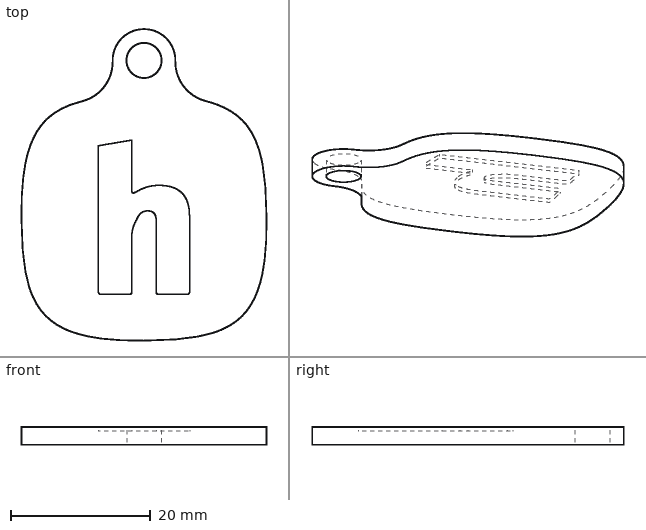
import cadquery as cq
import math

length = 44.55
thickness = 2.6
width = 35.05
half_width = width / 2
side_tilt = 0.01
leading_pull = 12.9
trailing_pull = 15.0

loop_radius = 4.5
hole_diameter = 5.0
neck_fillet = 5.75
loop_y = length - half_width - loop_radius

inlay_depth = 0.55
letter_half_width = 6.5
leg_inner_x = 1.75
letter_bottom = -10.9
stem_top_left = 10.35
stem_top_right = 11.15
arch_peak = (2.2, 4.68)
arch_spring_y = 0.25
slot_peak = (0.55, 1.02)
slot_shoulder = (-1.02, -0.15)
slot_left_y = -2.55
slot_right_y = -0.35
crotch_top_y = 3.87
crotch_low_point = (-1.6, 3.6)
crotch_end = (-1.3, 3.65)
crotch_rise = (1.0, 0.6)
foot_radius = 0.35


def turned(point, quarter):
    """Turn a point about the plate centre by a number of quarter turns."""
    x, y = point
    for _ in range(quarter):
        x, y = -y, x
    return (x, y)


def rounded_square():
    """Four equal cubic curves, each running from one side middle to the next."""
    side_middle = (half_width, 0)
    leading_handle = (
        half_width - leading_pull * math.sin(side_tilt),
        leading_pull * math.cos(side_tilt),
    )
    trailing_handle = (
        trailing_pull * math.cos(side_tilt),
        half_width + trailing_pull * math.sin(side_tilt),
    )
    outline = cq.Workplane("XY").moveTo(*side_middle)
    for quarter in range(4):
        outline = outline.bezier(
            [
                turned(side_middle, quarter),
                turned(leading_handle, quarter),
                turned(trailing_handle, quarter),
                turned(side_middle, quarter + 1),
            ]
        )
    return outline.close().extrude(thickness)


def make_letter():
    """Outline of a lowercase h, its feet rounded."""
    outline = (
        cq.Workplane("XY", origin=(0, 0, thickness - inlay_depth))
        .moveTo(-letter_half_width, letter_bottom)
        .lineTo(-letter_half_width, stem_top_left)
        .lineTo(-leg_inner_x, stem_top_right)
        .lineTo(-leg_inner_x, crotch_top_y)
        .threePointArc(crotch_low_point, crotch_end)
        .spline([arch_peak], tangents=[crotch_rise, (1, 0)], includeCurrent=True)
        .spline([(letter_half_width, arch_spring_y)], tangents=[(1, 0), (0, -1)], includeCurrent=True)
        .lineTo(letter_half_width, letter_bottom)
        .lineTo(leg_inner_x, letter_bottom)
        .lineTo(leg_inner_x, slot_right_y)
        .spline([slot_peak], tangents=[(0, 1), (-1, 0)], includeCurrent=True)
        .spline(
            [slot_shoulder, (-leg_inner_x, slot_left_y)],
            tangents=[(-1, 0), (0, -1)],
            includeCurrent=True,
        )
        .lineTo(-leg_inner_x, letter_bottom)
        .close()
    )
    feet = cq.selectors.BoxSelector(
        (-half_width, letter_bottom - foot_radius, 0),
        (half_width, letter_bottom + foot_radius, thickness),
    )
    return outline.extrude(inlay_depth).edges("|Z").edges(feet).fillet(foot_radius)


def make_tag(letter):
    """Plate with neck, loop and hole, recessed to take the letter."""
    neck = cq.Workplane("XY").center(0, loop_y / 2).rect(2 * loop_radius, loop_y).extrude(thickness)
    neck_corners = cq.selectors.BoxSelector(
        (-half_width, half_width / 2, thickness / 3),
        (half_width, half_width + loop_radius, 2 * thickness / 3),
    )
    body = rounded_square().union(neck).edges(neck_corners).fillet(neck_fillet)
    loop = cq.Workplane("XY").center(0, loop_y).circle(loop_radius).extrude(thickness)
    hole = cq.Workplane("XY").center(0, loop_y).circle(hole_diameter / 2).extrude(thickness)
    return body.union(loop).cut(hole).cut(letter)


letter = make_letter()
tag = make_tag(letter)

result = cq.Compound.makeCompound([tag.val(), letter.val()])